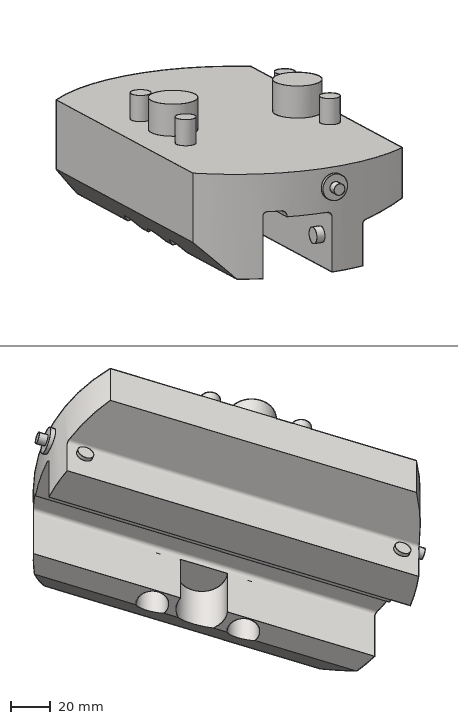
import cadquery as cq


end_radius = 97.5
front_y = -63.0
back_y = 52.0
body_height = 55.0

front_chamfer = 18.7
front_leg_inner_y = front_y + 30.8
rear_leg_inner_y = front_y + 67.1
rear_leg_outer_y = front_y + 86.0
slot_roof_z = 31.8
relief_roof_z = 35.1
relief_width = 11.8
wing_tip_z = 28.7
wing_root_z = 23.7
tight_corner_radius = 2.0
wide_corner_radius = 3.0

boss_diameter = 25.0
boss_height = 16.8
boss_offset_y = 35.3
top_pin_diameter = 10.5
top_pin_height = 13.7
top_pin_offset_x = 24.5
top_pin_offset_y = 41.0

boss_bore_diameter = 26.0
pin_bore_diameter = 16.5
bore_depth = slot_roof_z

trunnion_y = 5.0
trunnion_z = 45.0
flange_diameter = 14.0
flange_reach = 99.4
journal_diameter = 6.0
journal_reach = 104.0

cross_pin_diameter = 8.5
cross_pin_x = 85.5
cross_pin_z = 16.8
cross_pin_front_y = rear_leg_inner_y - 4.5
cross_pin_back_y = rear_leg_outer_y + 2.0


def make_body():
    """Slotted side profile along X, trimmed by the round ends."""
    relief_back_y = front_leg_inner_y + relief_width
    wing_tip = (back_y, wing_tip_z)
    wing_root = (rear_leg_outer_y, wing_root_z)
    slot_corner = (rear_leg_inner_y, slot_roof_z)
    relief_back_corner = (relief_back_y, relief_roof_z)
    relief_front_corner = (front_leg_inner_y, relief_roof_z)
    profile = [
        (front_y, body_height),
        (back_y, body_height),
        wing_tip,
        wing_root,
        (rear_leg_outer_y, 0),
        (rear_leg_inner_y, 0),
        slot_corner,
        (relief_back_y, slot_roof_z),
        relief_back_corner,
        relief_front_corner,
        (front_leg_inner_y, 0),
        (front_y + front_chamfer, 0),
        (front_y, front_chamfer),
    ]
    bar = cq.Workplane("YZ").polyline(profile).close().extrude(end_radius, both=True)
    rounded_corners = [
        (wing_root, tight_corner_radius),
        (slot_corner, wide_corner_radius),
        (relief_back_corner, wide_corner_radius),
        (relief_front_corner, tight_corner_radius),
    ]
    for (y, z), radius in rounded_corners:
        bar = bar.edges(cq.NearestToPointSelector((0, y, z))).fillet(radius)
    disc = cq.Workplane("XY").circle(end_radius).extrude(body_height)
    return bar.intersect(disc)


def make_top_studs():
    """Two bosses and four pins standing on the top face."""
    top = cq.Workplane("XY").workplane(offset=body_height)
    boss_points = [(0, -boss_offset_y), (0, boss_offset_y)]
    bosses = top.pushPoints(boss_points).circle(boss_diameter / 2).extrude(boss_height)
    pins = (
        top.rect(2 * top_pin_offset_x, 2 * top_pin_offset_y, forConstruction=True)
        .vertices()
        .circle(top_pin_diameter / 2)
        .extrude(top_pin_height)
    )
    return bosses.union(pins)


def make_front_bores():
    """Bores under the front boss and the two front pins."""
    bottom = cq.Workplane("XY")
    pin_points = [(side * top_pin_offset_x, -top_pin_offset_y) for side in (-1, 1)]
    bores = bottom.pushPoints(pin_points).circle(pin_bore_diameter / 2).extrude(bore_depth)
    boss_bore = bottom.center(0, -boss_offset_y).circle(boss_bore_diameter / 2).extrude(bore_depth)
    return bores.union(boss_bore)


def make_trunnions():
    """Flange and journal on each round end, built as shafts across the body."""
    plane = cq.Workplane("YZ").center(trunnion_y, trunnion_z)
    flanges = plane.circle(flange_diameter / 2).extrude(flange_reach, both=True)
    journals = plane.circle(journal_diameter / 2).extrude(journal_reach, both=True)
    return flanges.union(journals)


def make_cross_pins():
    """One pin near each end of the rear leg, standing out on both faces."""
    pin_points = [(side * cross_pin_x, cross_pin_z) for side in (-1, 1)]
    return (
        cq.Workplane("XZ", origin=(0, cross_pin_back_y, 0))
        .pushPoints(pin_points)
        .circle(cross_pin_diameter / 2)
        .extrude(cross_pin_back_y - cross_pin_front_y)
    )


result = (
    make_body()
    .cut(make_front_bores())
    .union(make_top_studs())
    .union(make_trunnions())
    .union(make_cross_pins())
)